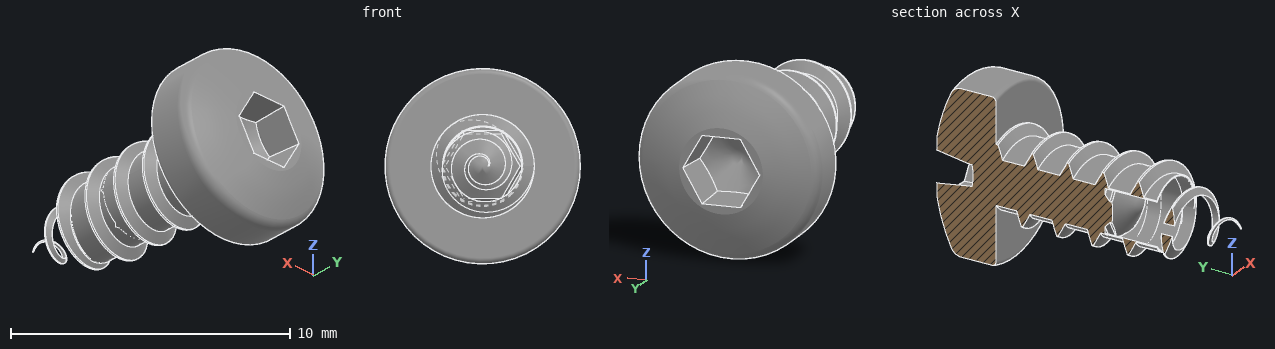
import cadquery as cq
import math


HEAD_RADIUS = 3.5
HEAD_HEIGHT = 2.54
CROWN_FLAT_RADIUS = 1.6
CROWN_SPHERE_RADIUS = 7
SHOULDER_RADIUS = 0.5
RIM_FILLET = 0.2

HEX_MOUTH_APOTHEM = 1.27
HEX_END_APOTHEM = 1.16
HEX_CONE_HALF_ANGLE = 60
SOCKET_DEPTH = 1.4

SHANK_RADIUS = 1.44
SHANK_LENGTH = 6.82
WALL_THICKNESS = 0.04
RECESS_DEPTH = 2.2
BOSS_DEPTH = 0.2

PITCH = 1.5
CREST_RADIUS = 1.85
BASE_WIDTH = 0.6
CREST_WIDTH = 0.08
SHANK_TURNS = 5
POINT_TURNS = 2
SCREW_LENGTH = 9.56
POINT_RADIUS = 0.2
POINT_WIDTH = 0.025
SAMPLES_PER_TURN = 16

thread_base_radius = SHANK_RADIUS - WALL_THICKNESS / 2
taper_start = SCREW_LENGTH - POINT_TURNS * PITCH
thread_start = taper_start - SHANK_TURNS * PITCH


def make_head():
    """Revolve the pan head: filleted rim, straight side, rounded shoulder, truncated sphere."""
    sphere_center = HEAD_HEIGHT - math.sqrt(CROWN_SPHERE_RADIUS**2 - CROWN_FLAT_RADIUS**2)
    shoulder_x = HEAD_RADIUS - SHOULDER_RADIUS
    tilt = math.asin(shoulder_x / (CROWN_SPHERE_RADIUS - SHOULDER_RADIUS))
    shoulder_y = sphere_center + (CROWN_SPHERE_RADIUS - SHOULDER_RADIUS) * math.cos(tilt)

    def on_arc(center_x, center_y, radius, angle):
        return (center_x + radius * math.sin(angle), center_y + radius * math.cos(angle))

    crown_edge_tilt = math.asin(CROWN_FLAT_RADIUS / CROWN_SPHERE_RADIUS)
    shoulder_middle = on_arc(shoulder_x, shoulder_y, SHOULDER_RADIUS, (tilt + math.pi / 2) / 2)
    contact = on_arc(shoulder_x, shoulder_y, SHOULDER_RADIUS, tilt)
    crown_middle = on_arc(0, sphere_center, CROWN_SPHERE_RADIUS, (tilt + crown_edge_tilt) / 2)
    rim_middle = on_arc(HEAD_RADIUS - RIM_FILLET, RIM_FILLET, RIM_FILLET, 3 * math.pi / 4)
    return (
        cq.Workplane("XY")
        .moveTo(0, 0)
        .lineTo(HEAD_RADIUS - RIM_FILLET, 0)
        .threePointArc(rim_middle, (HEAD_RADIUS, RIM_FILLET))
        .lineTo(HEAD_RADIUS, shoulder_y)
        .threePointArc(shoulder_middle, contact)
        .threePointArc(crown_middle, (CROWN_FLAT_RADIUS, HEAD_HEIGHT))
        .lineTo(0, HEAD_HEIGHT)
        .close()
        .revolve(360, (0, 0, 0), (0, 1, 0))
    )


def y_cylinder(radius, y_top, length):
    """Cylinder on the Y axis that runs from y_top toward -Y."""
    return cq.Workplane("XZ", origin=(0, y_top, 0)).circle(radius).extrude(length)


def hex_driver(y_mouth, depth):
    """Tapered hexagon with corners on the X axis, running toward -Y and ending in a cone."""
    corner_factor = 2 / math.sqrt(3)
    end_corner = HEX_END_APOTHEM * corner_factor
    cone_height = end_corner / math.tan(math.radians(HEX_CONE_HALF_ANGLE))
    mouth = cq.Workplane("XZ", origin=(0, y_mouth, 0)).polygon(6, 2 * HEX_MOUTH_APOTHEM * corner_factor)
    prism = mouth.workplane(offset=depth).polygon(6, 2 * end_corner).loft(ruled=True)
    y_end = y_mouth - depth
    tip_block = cq.Workplane("XZ", origin=(0, y_end, 0)).polygon(6, 2 * end_corner).extrude(cone_height)
    cone = cq.Solid.makeCone(end_corner, 0, cone_height, cq.Vector(0, y_end, 0), cq.Vector(0, -1, 0))
    return prism.union(tip_block.intersect(cq.Workplane(cone)))


def make_recess():
    """Open end of the shank, without the conical hexagonal boss that stands on its floor."""
    floor_y = RECESS_DEPTH - SHANK_LENGTH
    bore = y_cylinder(SHANK_RADIUS - WALL_THICKNESS, floor_y, RECESS_DEPTH)
    return bore.cut(hex_driver(floor_y, BOSS_DEPTH))


def helix_edge(turns, depth, start, end):
    """Left-hand helix from +X whose (radius, axial offset) changes evenly from start to end."""
    count = turns * SAMPLES_PER_TURN
    points = []
    for i in range(count + 1):
        share = i / count
        angle = -2 * math.pi * turns * share
        radius = start[0] + (end[0] - start[0]) * share
        offset = start[1] + (end[1] - start[1]) * share
        y = -depth - PITCH * turns * share + offset
        points.append(cq.Vector(radius * math.cos(angle), y, radius * math.sin(angle)))
    return cq.Edge.makeSpline(points)


def thread_section(base_radius, crest_radius, base_width, crest_width):
    """Corners of the thread ridge as (radius, axial offset)."""
    return [
        (base_radius, base_width / 2),
        (crest_radius, crest_width / 2),
        (crest_radius, -crest_width / 2),
        (base_radius, -base_width / 2),
    ]


def make_shank_thread(section):
    """Ridge of constant section that winds around the shank."""
    profile = cq.Workplane("XZ").polyline(section).close()
    path = cq.Wire.makeHelix(PITCH, SHANK_TURNS * PITCH, section[0][0], lefthand=True)
    ridge = profile.sweep(cq.Workplane(path), isFrenet=True)
    return ridge.rotate((0, 0, 0), (1, 0, 0), 90).translate((0, -thread_start, 0))


def make_point_thread(start_section, end_section):
    """Free-standing ridge beyond the shank that narrows from one section to another."""
    edges = [helix_edge(POINT_TURNS, taper_start, a, b) for a, b in zip(start_section, end_section)]
    faces = [cq.Face.makeRuledSurface(edges[i - 1], edges[i]) for i in range(len(edges))]
    for position in (0, 1):
        corners = [edge.positionAt(position) for edge in edges]
        faces.append(cq.Face.makeFromWires(cq.Wire.makePolygon(corners, close=True)))
    return cq.Workplane(cq.Solid.makeSolid(cq.Shell.makeShell(faces)).fix())


full_section = thread_section(thread_base_radius, CREST_RADIUS, BASE_WIDTH, CREST_WIDTH)
point_section = thread_section(POINT_RADIUS, POINT_RADIUS + POINT_WIDTH, POINT_WIDTH, POINT_WIDTH)
shank_thread = make_shank_thread(full_section)
point_thread = make_point_thread(full_section, point_section)

head = make_head().cut(hex_driver(HEAD_HEIGHT, SOCKET_DEPTH))
shank = y_cylinder(SHANK_RADIUS, 0, SHANK_LENGTH)
screw = shank.union(shank_thread).union(head)

result = screw.cut(make_recess()).union(point_thread)